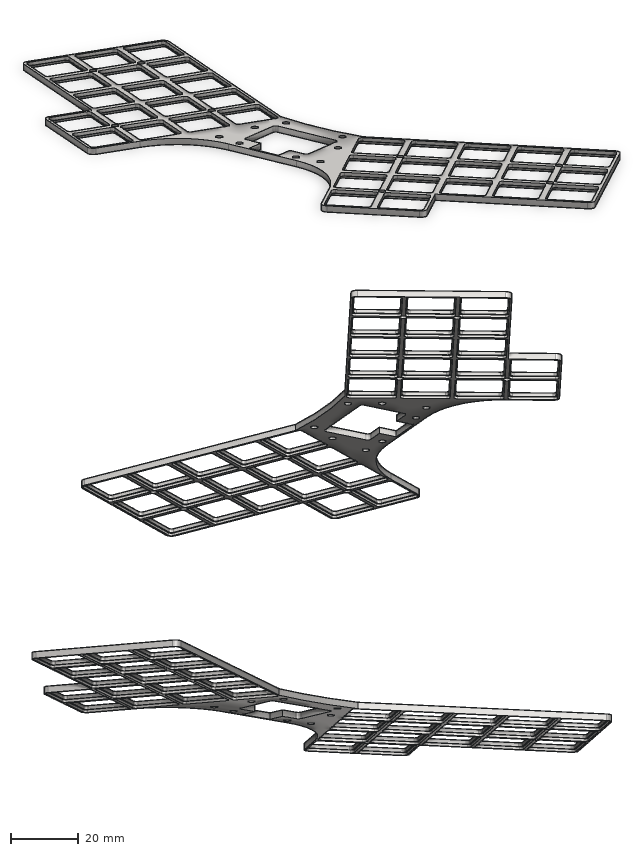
import cadquery as cq
import math

WIDTH = 211.8
DEPTH = 92.1
THICKNESS = 2.0

WING_ANGLE = 27.2
OPENING = 14.0
RIB = 2.01
PITCH = OPENING + RIB
RECESS_MARGIN = 0.5
RECESS_DEPTH = 0.8
OPENING_RADIUS = 1.0
CORNER_RADIUS = 2.0
ROWS = 3
COLUMNS = 5
EXTRA_COLUMNS = 2
HOLE_DIAMETER = 2.1
HOLE_CROSSINGS = [(1, 1), (1, 2), (4, 1), (4, 3)]

HUB_TOP = 10.0
HUB_BOTTOM = -18.2
HUB_FILLET = 25.5
SIDE_HOLES = [(15.5, -1.5), (18.9, -14.6)]
MOUNT_HOLE_SPACING_X = 21.0
MOUNT_HOLE_SPACING_Y = 23.0

WINDOW_WIDTH = 23.5
WINDOW_TOP = 3.5
WINDOW_BOTTOM = -11.9
WINDOW_CENTER_Y = (WINDOW_TOP + WINDOW_BOTTOM) / 2
WINDOW_RADIUS = 1.0
SLOT_WIDTH = 10.8
BRIDGE = 0.6

cos_a = math.cos(math.radians(WING_ANGLE))
sin_a = math.sin(math.radians(WING_ANGLE))

corner_reach = (PITCH / 2 - CORNER_RADIUS) * (cos_a + sin_a) + CORNER_RADIUS

first_x = -WIDTH / 2 + corner_reach + (ROWS - 1) * PITCH * sin_a
first_y = DEPTH / 2 - corner_reach


def grid_point(column, row):
    """Point of the left wing, in pitches from the centre of its first cell."""
    along = column * PITCH
    down = row * PITCH
    return (first_x + along * cos_a - down * sin_a, first_y - along * sin_a - down * cos_a)


def wing_block(first_column, columns, rows):
    """Rounded plate covering whole grid cells, starting at the top row."""
    center = grid_point(first_column + (columns - 1) / 2, (rows - 1) / 2)
    return (
        cq.Workplane("XY")
        .rect(columns * PITCH, rows * PITCH)
        .extrude(THICKNESS)
        .edges("|Z")
        .fillet(CORNER_RADIUS)
        .rotate((0, 0, 0), (0, 0, 1), -WING_ANGLE)
        .translate((*center, 0))
    )


def wing():
    """Solid outline of the left wing."""
    main = wing_block(0, COLUMNS, ROWS)
    extra = wing_block(COLUMNS - EXTRA_COLUMNS, EXTRA_COLUMNS, ROWS + 1)
    return main.union(extra)


def hub():
    """Plate between the wings, with a hollow top and filleted lower corners."""
    inner_column = COLUMNS - 0.5
    top_x, top_y = grid_point(inner_column - CORNER_RADIUS / PITCH, -0.5)
    side_x, side_y = grid_point(inner_column, -0.5)
    corner_x = side_x - (side_y - HUB_BOTTOM) * sin_a / cos_a
    turn = math.radians(90 - WING_ANGLE)
    tangent = HUB_FILLET * math.tan(turn / 2)
    flat_x = corner_x + tangent
    end_x = corner_x - tangent * sin_a
    end_y = HUB_BOTTOM - tangent * cos_a
    mid_x = flat_x - HUB_FILLET * math.sin(turn / 2)
    mid_y = HUB_BOTTOM - HUB_FILLET * (1 - math.cos(turn / 2))
    return (
        cq.Workplane("XY")
        .moveTo(top_x, top_y)
        .threePointArc((0, HUB_TOP), (-top_x, top_y))
        .lineTo(-end_x, end_y)
        .threePointArc((-mid_x, mid_y), (-flat_x, HUB_BOTTOM))
        .lineTo(flat_x, HUB_BOTTOM)
        .threePointArc((mid_x, mid_y), (end_x, end_y))
        .close()
        .extrude(THICKNESS)
    )


def cell_block(size, height):
    """Square prism with rounded corners, turned to the angle of the left wing."""
    return (
        cq.Workplane("XY")
        .rect(size, size)
        .extrude(height)
        .edges("|Z")
        .fillet(OPENING_RADIUS)
        .rotate((0, 0, 0), (0, 0, 1), -WING_ANGLE)
    )


def openings():
    """Key openings of the left wing, each widened by a recess in the underside."""
    points = []
    for column in range(COLUMNS):
        rows = ROWS + 1 if column >= COLUMNS - EXTRA_COLUMNS else ROWS
        points += [grid_point(column, row) for row in range(rows)]
    cell = cell_block(OPENING, THICKNESS).union(cell_block(OPENING + 2 * RECESS_MARGIN, RECESS_DEPTH))
    return cq.Workplane("XY").pushPoints(points).eachpoint(lambda at: cell.val().moved(at), combine=False)


def holes():
    """Round holes of the left half."""
    points = [grid_point(c - 0.5, r - 0.5) for c, r in HOLE_CROSSINGS]
    points += [(-x, y) for x, y in SIDE_HOLES]
    for side in (-1, 1):
        points.append((-MOUNT_HOLE_SPACING_X / 2, WINDOW_CENTER_Y + side * MOUNT_HOLE_SPACING_Y / 2))
    return cq.Workplane("XY").pushPoints(points).circle(HOLE_DIAMETER / 2).extrude(THICKNESS)


def window():
    """Rounded window joined to the slot below it."""
    slot_bottom = HUB_BOTTOM + BRIDGE
    opening = (
        cq.Workplane("XY")
        .center(0, WINDOW_CENTER_Y)
        .rect(WINDOW_WIDTH, WINDOW_TOP - WINDOW_BOTTOM)
        .extrude(THICKNESS)
        .edges("|Z")
        .fillet(WINDOW_RADIUS)
    )
    slot_height = WINDOW_TOP - slot_bottom
    slot = (
        cq.Workplane("XY")
        .center(0, slot_bottom + slot_height / 2)
        .rect(SLOT_WIDTH, slot_height)
        .extrude(THICKNESS)
    )
    return opening.union(slot)


left_wing = wing()
left_cuts = openings().add(holes()).combine()
plate = hub().union(left_wing).union(left_wing.mirror("YZ"))
plate = plate.cut(left_cuts).cut(left_cuts.mirror("YZ"))
result = plate.cut(window())